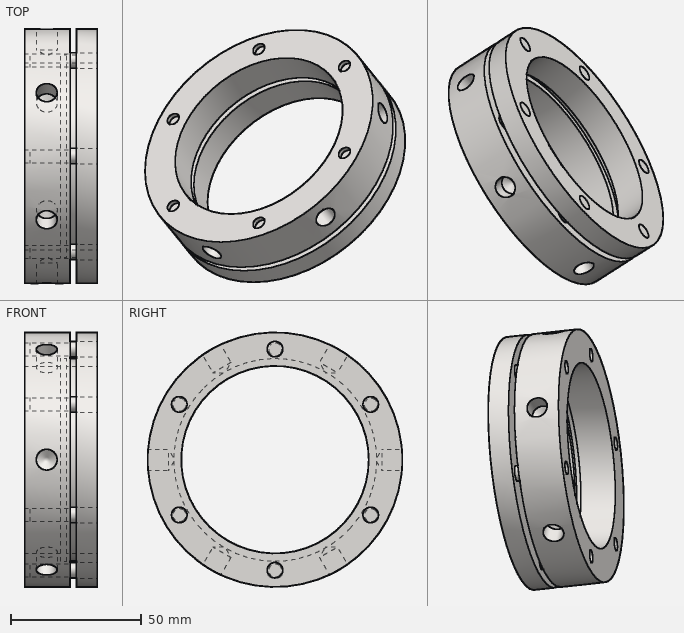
import cadquery as cq

outer_diameter = 98.0
bore_diameter = 72.0
overall_length = 28.0

groove_width = 2.4
outer_groove_start = 17.5
outer_groove_floor_diameter = 78.0
web_thickness = 1.4
inner_groove_start = outer_groove_start - web_thickness - groove_width
inner_groove_floor_diameter = 78.0

screw_count = 6
screw_circle_radius = 42.5
screw_shank_diameter = 6.0
screw_thread_diameter = 5.0
screw_end_recess = 2.0

wrench_hole_count = 6
wrench_hole_diameter = 8.0
wrench_hole_position = 8.5
wrench_hole_depth = 8.0
drill_tip_height = 2.4
cut_clearance = 1.0


def ring_axis_cylinder(diameter, start, end):
    """Cylinder on the ring axis between two X positions."""
    return cq.Workplane("YZ").workplane(offset=start).circle(diameter / 2).extrude(end - start)


def screw_position_cylinder(diameter, start, end, angle):
    """Cylinder parallel to X on the screw circle, at an angle measured from +Y towards +Z."""
    return (
        cq.Workplane("YZ")
        .workplane(offset=start)
        .center(screw_circle_radius, 0)
        .circle(diameter / 2)
        .extrude(end - start)
        .rotate((0, 0, 0), (1, 0, 0), angle)
    )


def make_screw(angle, thread_start):
    """Screw whose threaded end begins at thread_start and whose shank ends flush with the flange."""
    thread = screw_position_cylinder(screw_thread_diameter, thread_start, outer_groove_start, angle)
    shank = screw_position_cylinder(screw_shank_diameter, outer_groove_start, overall_length, angle)
    return thread.union(shank)


def make_wrench_hole(angle):
    """Radial blind hole with a conical tip, at an angle measured from +Y towards +Z."""
    rim = outer_diameter / 2
    shoulder = rim - wrench_hole_depth
    hole_edge = wrench_hole_position + wrench_hole_diameter / 2
    return (
        cq.Workplane("XY")
        .moveTo(wrench_hole_position, shoulder - drill_tip_height)
        .lineTo(hole_edge, shoulder)
        .lineTo(hole_edge, rim + cut_clearance)
        .lineTo(wrench_hole_position, rim + cut_clearance)
        .close()
        .revolve(360, (wrench_hole_position, 0), (wrench_hole_position, 1))
        .rotate((0, 0, 0), (1, 0, 0), angle)
    )


def make_nut_body():
    """Ring with the bore, both grooves, the stepped screw holes and the wrench holes."""
    body = ring_axis_cylinder(outer_diameter, 0, overall_length)
    body = body.cut(ring_axis_cylinder(bore_diameter, 0, overall_length))

    outer_groove_end = outer_groove_start + groove_width
    outer_groove = ring_axis_cylinder(outer_diameter, outer_groove_start, outer_groove_end)
    neck = ring_axis_cylinder(outer_groove_floor_diameter, outer_groove_start, outer_groove_end)
    body = body.cut(outer_groove.cut(neck))

    inner_groove_end = inner_groove_start + groove_width
    body = body.cut(ring_axis_cylinder(inner_groove_floor_diameter, inner_groove_start, inner_groove_end))

    for angle in screw_angles:
        body = body.cut(make_screw(angle, thread_start=0))
    for index in range(wrench_hole_count):
        body = body.cut(make_wrench_hole(index * 360 / wrench_hole_count))
    return body


screw_spacing = 360 / screw_count
screw_angles = [(index + 0.5) * screw_spacing for index in range(screw_count)]

nut_body = make_nut_body()
screws = [make_screw(angle, screw_end_recess) for angle in screw_angles]

result = cq.Compound.makeCompound([nut_body.val(), *[screw.val() for screw in screws]])